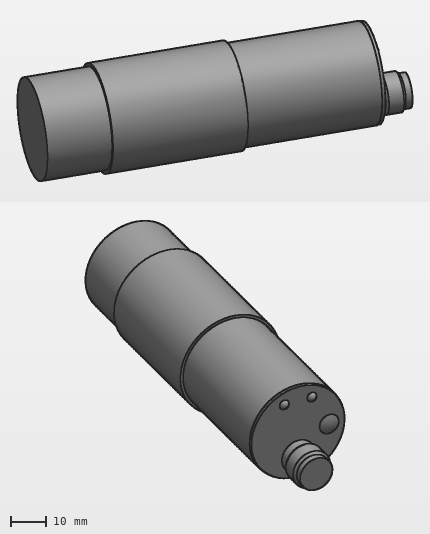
import cadquery as cq
import math

total_length = 111.0
nose_diameter = 30.0
nose_length = 19.1
sleeve_diameter = 32.0
barrel_diameter = 30.2
section_length = 40.0
end_cap_diameter = 30.0
end_cap_length = 1.0

screw_diameter = 3.0
screw_height = 1.1
screw_x = 4.4
screw_z = 10.3

lamp_diameter = 6.2
lamp_height = 0.7
lamp_x = -10.0
lamp_z = -0.3

connector_diameter = 10.4
connector_z = -8.1
collar_diameter = 12.0
collar_length = 6.0
collar_chamfer = 0.8
collar_setback = 2.0

sleeve_start = nose_length
barrel_start = sleeve_start + section_length
end_cap_start = barrel_start + section_length
rear_face = end_cap_start + end_cap_length
connector_length = total_length - rear_face


def cylinder(diameter, start, length, x=0.0, z=0.0):
    """Solid cylinder along +Y whose first face lies at Y = start."""
    return cq.Workplane(
        cq.Solid.makeCylinder(diameter / 2, length, cq.Vector(x, start, z), cq.Vector(0, 1, 0))
    )


def dome(diameter, height, x, z):
    """Spherical cap that bulges from the rear face."""
    base_radius = diameter / 2
    profile = (
        cq.Workplane("XY")
        .lineTo(base_radius, 0)
        .threePointArc(dome_midpoint(base_radius, height), (0, height))
        .close()
    )
    return profile.revolve(360, (0, 0), (0, 1)).translate((x, rear_face, z))


def dome_midpoint(base_radius, height):
    """Point halfway along the arc from the rim of a dome to its top."""
    sphere_radius = (base_radius**2 + height**2) / (2 * height)
    half_angle = math.asin(base_radius / sphere_radius) / 2
    drop = sphere_radius * (1 - math.cos(half_angle))
    return sphere_radius * math.sin(half_angle), height - drop


def make_housing():
    """Stepped barrel with its two screw heads and the indicator lamp."""
    housing = cylinder(nose_diameter, 0, nose_length)
    housing = housing.union(cylinder(sleeve_diameter, sleeve_start, section_length))
    housing = housing.union(cylinder(barrel_diameter, barrel_start, section_length))
    housing = housing.union(cylinder(end_cap_diameter, end_cap_start, end_cap_length))
    for x in (-screw_x, screw_x):
        housing = housing.union(dome(screw_diameter, screw_height, x, screw_z))
    return housing.union(dome(lamp_diameter, lamp_height, lamp_x, lamp_z))


def make_connector():
    """Round plug connector with a chamfered collar, standing on the rear face."""
    plug = cylinder(connector_diameter, rear_face, connector_length, z=connector_z)
    collar_start = total_length - collar_setback - collar_length
    collar = cylinder(collar_diameter, collar_start, collar_length, z=connector_z)
    return plug.union(collar.edges().chamfer(collar_chamfer))


housing = make_housing()
connector = make_connector()

result = cq.Compound.makeCompound([housing.val(), connector.val()])